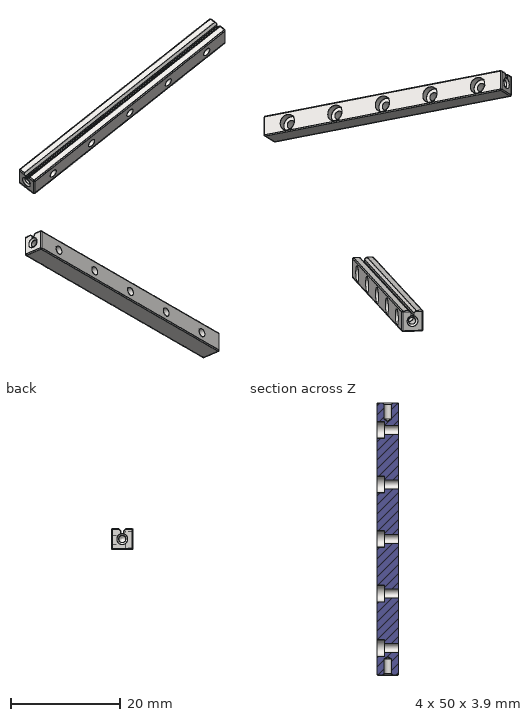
import cadquery as cq
import math

WIDTH = 4.0
LENGTH = 50.0
HEIGHT = 3.9
EDGE_CHAMFER = 0.2

GROOVE_MOUTH_WIDTH = 1.4
SLOT_WIDTH = 0.5
SLOT_DEPTH = 0.9

SCREW_COUNT = 5
SCREW_PITCH = 10.0
SCREW_Z = -0.15
SCREW_DIAMETER = 1.6
COUNTERBORE_DIAMETER = 3.0
COUNTERBORE_DEPTH = 1.4

END_HOLE_DIAMETER = 1.3
END_HOLE_DEPTH = 3.0
COUNTERSINK_DIAMETER = 2.0
COUNTERSINK_DEPTH = 0.35
DRILL_POINT_ANGLE = 118.0


def make_body():
    """Plain bar with every outer edge chamfered."""
    return cq.Workplane("XY").box(WIDTH, LENGTH, HEIGHT).edges().chamfer(EDGE_CHAMFER)


def make_groove():
    """V and slot cutter running the full length of the top face."""
    top = HEIGHT / 2
    mouth = GROOVE_MOUTH_WIDTH / 2
    slot = SLOT_WIDTH / 2
    v_bottom = top - (mouth - slot)
    slot_bottom = top - SLOT_DEPTH
    outline = [
        (-mouth, top),
        (-slot, v_bottom),
        (-slot, slot_bottom),
        (slot, slot_bottom),
        (slot, v_bottom),
        (mouth, top),
    ]
    return cq.Workplane("XZ").polyline(outline).close().extrude(LENGTH / 2, both=True)


def make_screw_holes():
    """Row of counterbored through holes, evenly spaced about the middle."""
    first_y = -SCREW_PITCH * (SCREW_COUNT - 1) / 2
    centres = [(first_y + i * SCREW_PITCH, SCREW_Z) for i in range(SCREW_COUNT)]
    side = cq.Workplane("YZ", origin=(-WIDTH / 2, 0, 0)).pushPoints(centres)
    through = side.circle(SCREW_DIAMETER / 2).extrude(WIDTH)
    counterbores = side.circle(COUNTERBORE_DIAMETER / 2).extrude(COUNTERBORE_DEPTH)
    return through.union(counterbores)


def make_end_hole():
    """Cutter for the -Y end: countersink, bore and conical drill point."""
    bore = END_HOLE_DIAMETER / 2
    point_length = bore / math.tan(math.radians(DRILL_POINT_ANGLE / 2))
    end = -LENGTH / 2
    bore_bottom = end + END_HOLE_DEPTH
    half_section = [
        (0, end),
        (COUNTERSINK_DIAMETER / 2, end),
        (bore, end + COUNTERSINK_DEPTH),
        (bore, bore_bottom),
        (0, bore_bottom + point_length),
    ]
    return cq.Workplane("XY").polyline(half_section).close().revolve(360, (0, 0), (0, 1))


end_hole = make_end_hole()
result = make_body().cut(make_groove()).cut(make_screw_holes())
result = result.cut(end_hole).cut(end_hole.mirror("XZ"))